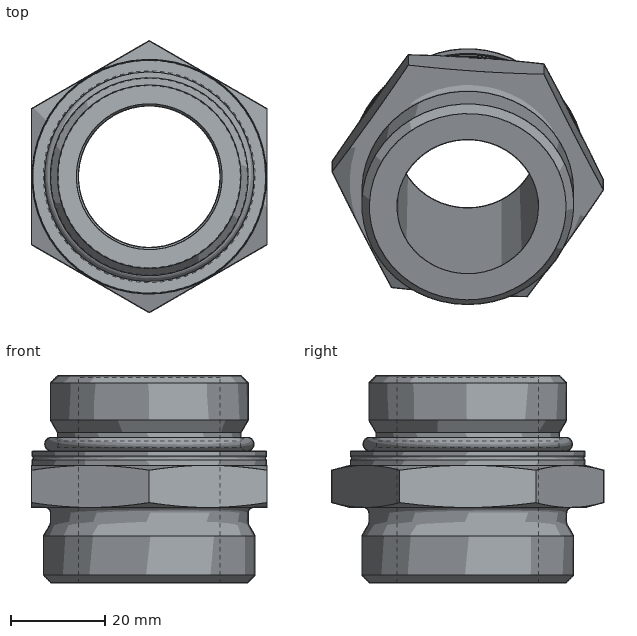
import cadquery as cq
import math

hex_across_corners = 57.75
total_height = 44.0
bore_radius = 30.0 / 2
bore_chamfer = 0.45

lower_radius = 45.0 / 2
lower_chamfer = 1.6
lower_thread_top = 10.0

upper_radius = 42.0 / 2
upper_chamfer = 1.55
upper_thread_bottom = 34.5
seal_neck_radius = 39.0 / 2
neck_blend_radius = 1.15
runout_angle = math.radians(30)

hex_bottom = 16.0
hex_top = 24.95
hex_chamfer_radius = 25.0
hex_chamfer_angle = math.radians(15)
collar_radius = 49.8 / 2
collar_top = 28.0
collar_chamfer = 0.2
groove_bottom = 26.05
groove_top = 26.9
groove_depth = 0.25

ring_outer_radius = 22.2
ring_section_radius = 1.45


def runout_height(thread_radius, neck_radius):
    """Height of the cone between a thread and its neck."""
    return (thread_radius - neck_radius) / math.tan(runout_angle)


def make_turned_body():
    """Revolved stack of both threaded ends, necks and the collar."""
    blend_start = hex_bottom - neck_blend_radius
    blend_middle = neck_blend_radius * (1 - math.sqrt(0.5))
    lower_neck_bottom = lower_thread_top + runout_height(lower_radius, upper_radius)
    seal_neck_top = upper_thread_bottom - runout_height(upper_radius, seal_neck_radius)
    groove_middle = (groove_bottom + groove_top) / 2

    tangent_length = neck_blend_radius * math.tan(runout_angle / 2)
    cone_tangent = (
        upper_radius + tangent_length * math.sin(runout_angle),
        lower_neck_bottom - tangent_length * math.cos(runout_angle),
    )
    neck_tangent = (upper_radius, lower_neck_bottom + tangent_length)
    blend_point = (
        upper_radius + neck_blend_radius * (1 - math.cos(runout_angle / 2)),
        neck_tangent[1] - neck_blend_radius * math.sin(runout_angle / 2),
    )

    profile = (
        cq.Workplane("XZ")
        .moveTo(0, 0)
        .lineTo(lower_radius - lower_chamfer, 0)
        .lineTo(lower_radius, lower_chamfer)
        .lineTo(lower_radius, lower_thread_top)
        .lineTo(*cone_tangent)
        .threePointArc(blend_point, neck_tangent)
        .lineTo(upper_radius, blend_start)
        .threePointArc(
            (upper_radius + blend_middle, hex_bottom - blend_middle),
            (upper_radius + neck_blend_radius, hex_bottom),
        )
        .lineTo(collar_radius, hex_bottom)
        .lineTo(collar_radius, groove_bottom)
        .threePointArc((collar_radius - groove_depth, groove_middle), (collar_radius, groove_top))
        .lineTo(collar_radius, collar_top - collar_chamfer)
        .lineTo(collar_radius - collar_chamfer, collar_top)
        .lineTo(seal_neck_radius, collar_top)
        .lineTo(seal_neck_radius, seal_neck_top)
        .lineTo(upper_radius, upper_thread_bottom)
        .lineTo(upper_radius, total_height - upper_chamfer)
        .lineTo(upper_radius - upper_chamfer, total_height)
        .lineTo(0, total_height)
        .close()
    )
    return profile.revolve(360, (0, 0, 0), (0, 1, 0))


def make_hexagon():
    """Hexagon with corners on the Y axis, its corners turned down conically."""
    corner_radius = hex_across_corners / 2
    corner_drop = (corner_radius - hex_chamfer_radius) * math.tan(hex_chamfer_angle)
    prism = (
        cq.Workplane("XY")
        .workplane(offset=hex_bottom)
        .polygon(6, hex_across_corners)
        .extrude(hex_top - hex_bottom)
        .rotate((0, 0, 0), (0, 0, 1), 90)
    )
    envelope = (
        cq.Workplane("XZ")
        .moveTo(0, hex_bottom)
        .lineTo(hex_chamfer_radius, hex_bottom)
        .lineTo(corner_radius, hex_bottom + corner_drop)
        .lineTo(corner_radius, hex_top - corner_drop)
        .lineTo(hex_chamfer_radius, hex_top)
        .lineTo(0, hex_top)
        .close()
        .revolve(360, (0, 0, 0), (0, 1, 0))
    )
    return prism.intersect(envelope)


def make_bore():
    """Through bore with its upper edge chamfered."""
    return (
        cq.Workplane("XZ")
        .moveTo(0, 0)
        .lineTo(bore_radius, 0)
        .lineTo(bore_radius, total_height - bore_chamfer)
        .lineTo(bore_radius + bore_chamfer, total_height)
        .lineTo(0, total_height)
        .close()
        .revolve(360, (0, 0, 0), (0, 1, 0))
    )


def make_o_ring():
    """Seal ring lying on the collar around the seal neck."""
    ring_radius = ring_outer_radius - ring_section_radius
    ring_height = collar_top + ring_section_radius
    return (
        cq.Workplane("XZ")
        .moveTo(ring_radius, ring_height)
        .circle(ring_section_radius)
        .revolve(360, (0, 0, 0), (0, 1, 0))
    )


o_ring = make_o_ring()
fitting = make_turned_body().union(make_hexagon()).cut(make_bore())
fitting = fitting.cut(o_ring)

result = cq.Compound.makeCompound([fitting.val(), o_ring.val()])